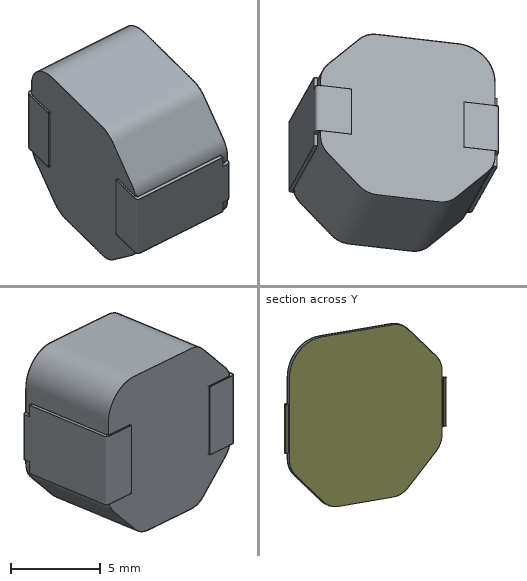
import cadquery as cq

housing_size = 10.0
housing_depth = 6.25
half_size = housing_size / 2
chamfer_leg = 2.64
chamfer_rounding = 1.43
large_corner_radius = 2.1

overall_width = 10.5
strip_thickness = 0.21
bend_radius = 0.2
terminal_width = 4.24
foot_length = 2.02
foot_height = 0.1
tongue_width = 2.81
shoulder_setback = 0.5
half_width = overall_width / 2
rear_y = housing_depth / 2 + foot_height / 2
mount_y = rear_y - housing_depth
foot_y = mount_y - foot_height


def make_housing_blank():
    """Prism with three rounded chamfers and one large round corner at -X +Z."""
    flat_end = half_size - chamfer_leg
    outline = [
        (-half_size, half_size),
        (flat_end, half_size),
        (half_size, flat_end),
        (half_size, -flat_end),
        (flat_end, -half_size),
        (-flat_end, -half_size),
        (-half_size, -flat_end),
    ]
    prism = cq.Workplane("XZ", origin=(0, rear_y, 0)).polyline(outline).close().extrude(housing_depth)
    large_corner = cq.selectors.NearestToPointSelector((-half_size, 0, half_size))
    prism = prism.edges(large_corner).fillet(large_corner_radius)
    for x, z in outline[1:]:
        bend = cq.selectors.NearestToPointSelector((x, (rear_y + mount_y) / 2, z))
        prism = prism.edges(bend).fillet(chamfer_rounding)
    return prism


def make_terminal(side):
    """Strip with a foot, a side wall and a narrow rear tongue; side is -1 or 1 along X."""
    outer_x = side * half_width
    inner_x = side * (half_width - strip_thickness)
    tip_x = side * (half_width - foot_length)
    profile = [
        (tip_x, foot_y),
        (outer_x, foot_y),
        (outer_x, rear_y),
        (tip_x, rear_y),
        (tip_x, rear_y - strip_thickness),
        (inner_x, rear_y - strip_thickness),
        (inner_x, foot_y + strip_thickness),
        (tip_x, foot_y + strip_thickness),
    ]
    strip = cq.Workplane("XY").polyline(profile).close().extrude(terminal_width / 2, both=True)
    outer_bends = "|Z and >X" if side > 0 else "|Z and <X"
    strip = strip.edges(outer_bends).fillet(bend_radius)

    notch_height = (terminal_width - tongue_width) / 2
    for end in (-1, 1):
        notch = cq.Workplane("XY").box(overall_width + housing_size, shoulder_setback, notch_height)
        notch_z = end * (terminal_width - notch_height) / 2
        strip = strip.cut(notch.translate((0, rear_y - shoulder_setback / 2, notch_z)))
    return strip


terminals = [make_terminal(side) for side in (-1, 1)]

housing = make_housing_blank()
for terminal in terminals:
    housing = housing.cut(terminal)

result = cq.Compound.makeCompound([housing.val(), *[terminal.val() for terminal in terminals]])